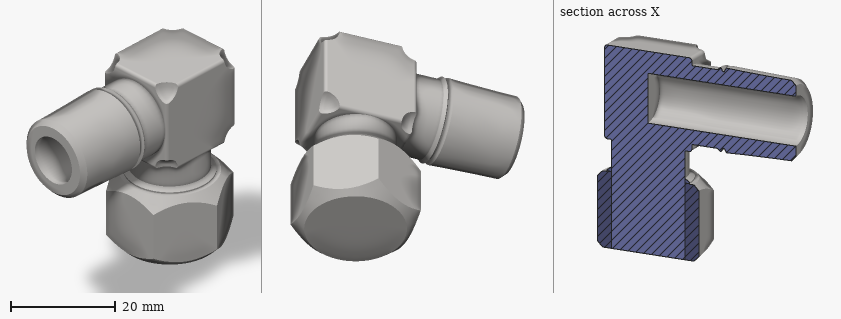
import cadquery as cq
import math


block_width = 17.0
block_side = 19.0
edge_radius = 0.7
notch_radius = 3.15

neck_radius = 8.0
neck_length = 5.5
neck_end = block_side / 2 + neck_length

male_end = 32.0
ridge_radius = 8.6
ridge_rise = 0.75
groove_radius = 7.8
groove_floor = 0.25
groove_back_flank = 0.4
groove_front_flank = 0.5
thread_root_radius = 8.6
thread_tip_radius = 8.15
tip_chamfer = 1.0
bore_radius = 5.0

collar_radius = 9.05
collar_cone_height = 0.7
collar_rim_height = 0.3

nut_sides = 6
nut_across_flats = 22.0
nut_across_corners = nut_across_flats / math.cos(math.pi / nut_sides)
nut_height = 15.5
nut_face_radius = 9.9
nut_top = neck_end + collar_cone_height + collar_rim_height
nut_bottom = nut_top + nut_height


def make_block():
    """Cuboid with rounded edges and a spherical notch at every corner."""
    block = cq.Workplane("XY").box(block_width, block_side, block_side)
    corners = block.vertices().vals()
    block = block.edges().fillet(edge_radius)
    for corner in corners:
        outward = math.degrees(math.atan2(corner.Y, corner.X))
        ball = cq.Workplane("XY").sphere(notch_radius).rotate((0, 0, 0), (0, 0, 1), outward)
        block = block.cut(ball.translate(corner.toTuple()))
    return block


def make_male_arm():
    """Neck, ridge, V groove and tapered thread envelope, revolved about the Y axis."""
    ridge = neck_end + ridge_rise
    floor_start = ridge + groove_back_flank
    floor_end = floor_start + groove_floor
    thread_start = floor_end + groove_front_flank
    outline = [
        (0, 0),
        (neck_radius, 0),
        (neck_radius, -neck_end),
        (ridge_radius, -ridge),
        (groove_radius, -floor_start),
        (groove_radius, -floor_end),
        (thread_root_radius, -thread_start),
        (thread_tip_radius, tip_chamfer - male_end),
        (thread_tip_radius - tip_chamfer, -male_end),
        (0, -male_end),
    ]
    return cq.Workplane("XY").polyline(outline).close().revolve(360, (0, 0), (0, 1))


def make_elbow():
    """Block with both arms; the bore runs from the male end to the crossing of the axes."""
    nut_arm = cq.Workplane("XY").circle(neck_radius).extrude(-nut_bottom)
    bore = cq.Workplane("XZ").circle(bore_radius).extrude(male_end)
    return make_block().union(make_male_arm()).union(nut_arm).cut(bore)


def make_collar():
    """Ring around the neck with a conical top and a short cylindrical rim."""
    outline = [
        (neck_radius, -neck_end),
        (collar_radius, -neck_end - collar_cone_height),
        (collar_radius, -nut_top),
        (neck_radius, -nut_top),
    ]
    return cq.Workplane("XZ").polyline(outline).close().revolve(360, (0, 0), (0, 1))


def make_nut():
    """Hexagon nut with its corners on the X axis, chamfered at both ends."""
    hexagon = (
        cq.Workplane("XY")
        .workplane(offset=-nut_bottom)
        .polygon(nut_sides, nut_across_corners)
        .extrude(nut_height)
    )
    half_height = nut_height / 2
    cone_outline = [
        (0, -nut_top),
        (nut_face_radius, -nut_top),
        (nut_face_radius + half_height, -nut_top - half_height),
        (nut_face_radius, -nut_bottom),
        (0, -nut_bottom),
    ]
    cones = cq.Workplane("XZ").polyline(cone_outline).close().revolve(360, (0, 0), (0, 1))
    neck_hole = cq.Workplane("XY").circle(neck_radius).extrude(-nut_bottom)
    return hexagon.intersect(cones).cut(neck_hole)


elbow = make_elbow()
collar = make_collar()
nut = make_nut()

result = cq.Compound.makeCompound([elbow.solids().val(), collar.solids().val(), nut.solids().val()])